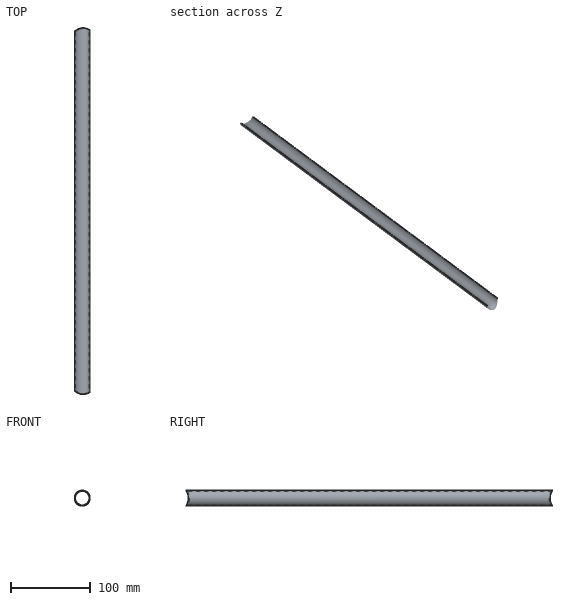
import cadquery as cq
import math

tube_diameter = 20.0
wall_thickness = 1.5
overall_length = 459.21
cope_radius = 15.0
cope_tilt = math.radians(5)

tube_radius = tube_diameter / 2
bore_radius = tube_radius - wall_thickness

tip_to_cope_axis = math.sqrt(cope_radius**2 - tube_radius**2)
cope_axis_y = overall_length / 2 + tip_to_cope_axis


def cylinder_along(direction, center, radius, length):
    """Solid cylinder centered on the given point."""
    start = cq.Vector(*center) - cq.Vector(*direction) * (length / 2)
    return cq.Workplane(obj=cq.Solid.makeCylinder(radius, length, start, cq.Vector(*direction)))


def make_tube():
    """Hollow tube reaching between the points where the cope axes cross it."""
    blank_length = 2 * cope_axis_y
    along_y = (0, 1, 0)
    outside = cylinder_along(along_y, (0, 0, 0), tube_radius, blank_length)
    bore = cylinder_along(along_y, (0, 0, 0), bore_radius, blank_length)
    return outside.cut(bore)


def cut_copes(tube):
    """Cut a saddle for the cross tube at each end."""
    cutter_length = 2 * tube_diameter
    for side in (-1, 1):
        direction = (math.cos(cope_tilt), side * math.sin(cope_tilt), 0)
        center = (0, side * cope_axis_y, 0)
        cutter = cylinder_along(direction, center, cope_radius, cutter_length)
        tube = tube.cut(cutter)
    return tube


result = cut_copes(make_tube())